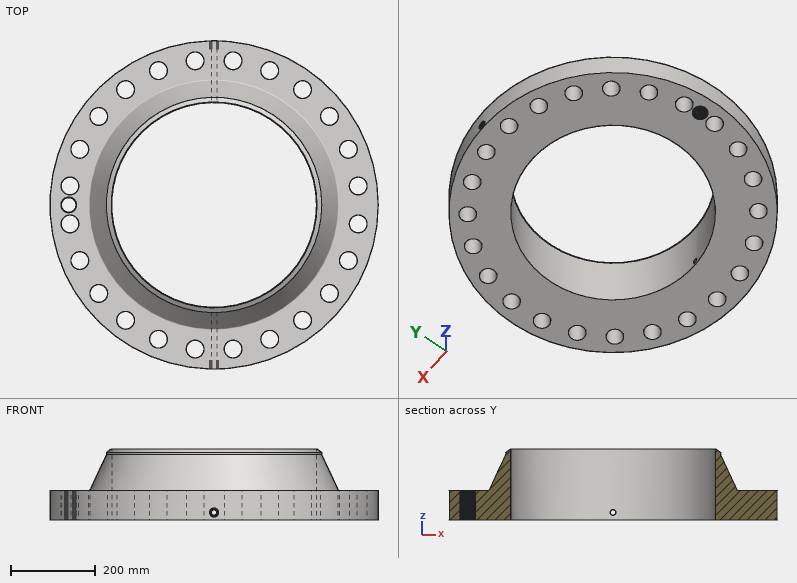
import cadquery as cq
import math

flange_diameter = 774.7
flange_thickness = 70.0
bore_diameter = 482.6

total_height = 168.15
hub_base_diameter = 587.2
neck_diameter = 508.0
neck_land_height = 5.0
hub_fillet_radius = 3.0
weld_root_width = 1.6
weld_bevel_angle = 37.5

bolt_count = 24
bolt_circle_diameter = 685.8
bolt_hole_diameter = 41.3

jack_hole_angle = 180.0
jack_major_diameter = 37.0
jack_minor_diameter = 34.0
jack_thread_pitch = 4.233

tap_height = 18.0
tap_bore_diameter = 12.7
tap_major_diameter = 21.3
tap_minor_diameter = 18.6
tap_thread_pitch = 1.814
tap_thread_depth = 20.0
tap_angles = (90.0, 270.0)

flange_radius = flange_diameter / 2
bore_radius = bore_diameter / 2
hub_base_radius = hub_base_diameter / 2
neck_radius = neck_diameter / 2


def flange_body():
    """Flange ring, tapered hub and beveled weld neck turned about Z."""
    root_radius = bore_radius + weld_root_width
    bevel_height = (neck_radius - root_radius) * math.tan(math.radians(weld_bevel_angle))
    bevel_base = total_height - bevel_height
    return (
        cq.Workplane("XZ")
        .moveTo(bore_radius, 0)
        .lineTo(flange_radius, 0)
        .lineTo(flange_radius, flange_thickness)
        .lineTo(hub_base_radius, flange_thickness)
        .lineTo(neck_radius, bevel_base - neck_land_height)
        .lineTo(neck_radius, bevel_base)
        .lineTo(root_radius, total_height)
        .lineTo(bore_radius, total_height)
        .close()
        .revolve(360, (0, 0, 0), (0, 1, 0))
        .edges(cq.selectors.RadiusNthSelector(-2))
        .fillet(hub_fillet_radius)
    )


def bolt_holes():
    """Bolt holes straddling the X and Y axes."""
    return (
        cq.Workplane("XY")
        .polarArray(bolt_circle_diameter / 2, 180 / bolt_count, 360, bolt_count)
        .circle(bolt_hole_diameter / 2)
        .extrude(flange_thickness)
    )


def threaded_cutter(major_diameter, minor_diameter, pitch, depth):
    """Solid along +Z whose wall has one V groove per pitch, widest at Z = 0."""
    major_radius = major_diameter / 2
    minor_radius = minor_diameter / 2
    groove_count = int(depth / pitch)
    profile = cq.Workplane("XZ").lineTo(major_radius, 0)
    for groove in range(groove_count):
        groove_start = groove * pitch
        profile = (
            profile
            .lineTo(minor_radius, groove_start + pitch / 2)
            .lineTo(major_radius, groove_start + pitch)
        )
    return (
        profile
        .lineTo(minor_radius, depth)
        .lineTo(0, depth)
        .close()
        .revolve(360, (0, 0, 0), (0, 1, 0))
    )


def jack_screw_hole():
    """Threaded through hole on the bolt circle."""
    return (
        threaded_cutter(jack_major_diameter, jack_minor_diameter, jack_thread_pitch, flange_thickness)
        .rotate((0, 0, 0), (1, 0, 0), 180)
        .translate((bolt_circle_diameter / 2, 0, flange_thickness))
        .rotate((0, 0, 0), (0, 0, 1), jack_hole_angle)
    )


def pressure_tap(angle):
    """Radial tap from the rim to the pipe bore, at the given angle about Z."""
    bore_length = flange_radius - bore_radius / 2
    bore = cq.Workplane("XY").circle(tap_bore_diameter / 2).extrude(bore_length)
    socket = threaded_cutter(tap_major_diameter, tap_minor_diameter, tap_thread_pitch, tap_thread_depth)
    return (
        bore.union(socket)
        .rotate((0, 0, 0), (0, 1, 0), -90)
        .translate((flange_radius, 0, tap_height))
        .rotate((0, 0, 0), (0, 0, 1), angle)
    )


result = flange_body().cut(bolt_holes()).cut(jack_screw_hole())
for tap_angle in tap_angles:
    result = result.cut(pressure_tap(tap_angle))